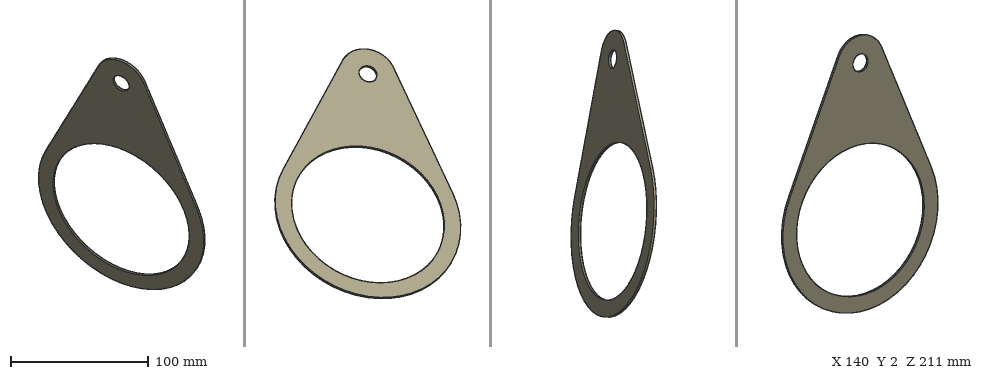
import cadquery as cq
import math

THICKNESS = 2.0
RING_OUTER_RADIUS = 70.0
RING_BORE_DIAMETER = 115.2
EYE_OUTER_RADIUS = 21.0
EYE_HOLE_DIAMETER = 13.5
CENTRE_DISTANCE = 120.0

FLANK_NORMAL_ANGLE = math.asin((RING_OUTER_RADIUS - EYE_OUTER_RADIUS) / CENTRE_DISTANCE)


def tangent_point(radius, centre_height):
    """Point where the +X flank touches the arc of the given radius."""
    x = radius * math.cos(FLANK_NORMAL_ANGLE)
    z = centre_height + radius * math.sin(FLANK_NORMAL_ANGLE)
    return x, z


def make_plate():
    """Teardrop plate in the XZ plane, centred on Y = 0."""
    ring_x, ring_z = tangent_point(RING_OUTER_RADIUS, 0)
    eye_x, eye_z = tangent_point(EYE_OUTER_RADIUS, CENTRE_DISTANCE)
    return (
        cq.Workplane("XZ")
        .moveTo(ring_x, ring_z)
        .lineTo(eye_x, eye_z)
        .threePointArc((0, CENTRE_DISTANCE + EYE_OUTER_RADIUS), (-eye_x, eye_z))
        .lineTo(-ring_x, ring_z)
        .threePointArc((0, -RING_OUTER_RADIUS), (ring_x, ring_z))
        .close()
        .extrude(THICKNESS / 2, both=True)
    )


def make_bore(diameter, centre_height):
    """Cylinder along Y that cuts a round hole through the plate."""
    return (
        cq.Workplane("XZ")
        .center(0, centre_height)
        .circle(diameter / 2)
        .extrude(THICKNESS, both=True)
    )


result = (
    make_plate()
    .cut(make_bore(RING_BORE_DIAMETER, 0))
    .cut(make_bore(EYE_HOLE_DIAMETER, CENTRE_DISTANCE))
)